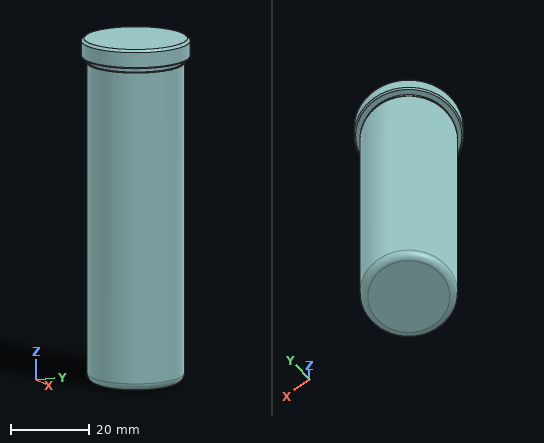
import cadquery as cq

total_length = 90.0
head_diameter = 28.0
head_height = 5.0
head_top_chamfer = 0.7
head_bottom_chamfer = 0.4
shank_diameter = 25.0

groove_diameter = 24.2
groove_width = 1.2
groove_chamfer = 0.2

tip_radius = 2.0

head_bottom_z = total_length - head_height
groove_bottom_z = head_bottom_z - groove_width


def make_cylinder(diameter, bottom_z, height):
    """Vertical cylinder on the pin axis."""
    return cq.Workplane("XY").workplane(offset=bottom_z).circle(diameter / 2).extrude(height)


def make_shank():
    """Guide shank with a rounded tip and a chamfered upper edge."""
    shank = make_cylinder(shank_diameter, 0, groove_bottom_z)
    return shank.faces("<Z").edges().fillet(tip_radius).faces(">Z").edges().chamfer(groove_chamfer)


def make_head():
    """Cylindrical head with both rims chamfered."""
    head = make_cylinder(head_diameter, head_bottom_z, head_height)
    head = head.faces(">Z").edges().chamfer(head_top_chamfer)
    return head.faces("<Z").edges().chamfer(head_bottom_chamfer)


neck = make_cylinder(groove_diameter, groove_bottom_z, groove_width)
result = make_shank().union(neck).union(make_head())